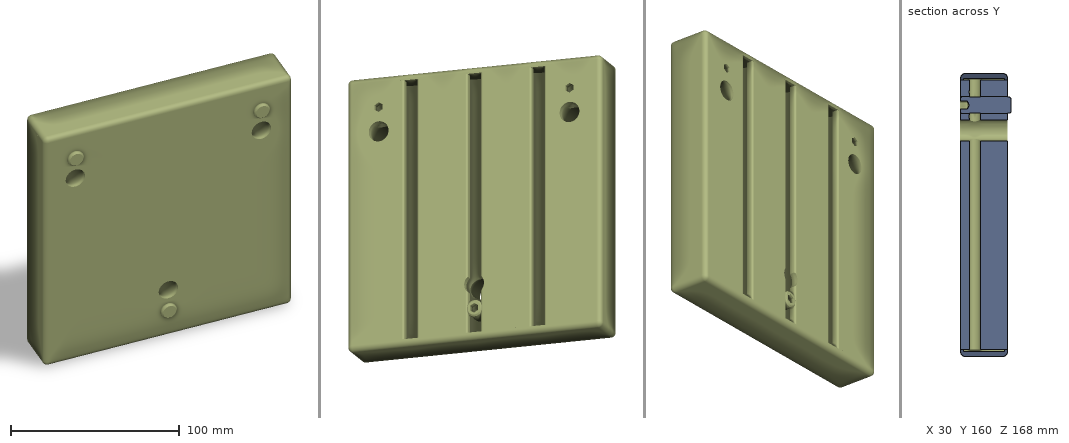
import cadquery as cq
import math

THICKNESS = 28.0
WIDTH = 160.0
HEIGHT = 168.0
SCREW_LENGTH = 30.0
CAP_THICKNESS = 4.0
EDGE_RADIUS = 3.0

CAP_RIM = 2.0
CAP_RECESS_DEPTH = 0.7

FRONT_X = -SCREW_LENGTH / 2
CENTER_X = FRONT_X + THICKNESS / 2
PROFILE_HEIGHT = HEIGHT - 2 * CAP_THICKNESS
PROFILE_BOTTOM = -PROFILE_HEIGHT / 2

SLOT_PITCH = 40.0
LIP_THICKNESS = 4.0
LIP_RADIUS = 1.3
SLOT_DEPTH = 12.5
UNDERCUT_RADIUS = 6.7
MOUTH_HALF = 4.0
FLOOR_HALF = 2.4

COLUMN_Y = 60.0
HOLE_Z = 50.0
SCREW_Z = 65.0
HOLE_DIAMETER = 12.5
SCREW_DIAMETER = 10.0
SCREW_TIP_CHAMFER = 0.8
HEX_ACROSS_FLATS = 5.0
HEX_DEPTH = 4.0
HEX_CONE_DEPTH = 1.7

COLUMNS = [(COLUMN_Y, 1), (-COLUMN_Y, 1), (0, -1)]

BORE_DIAMETER = 6.9
BORE_X = -6.4

LIP_X = FRONT_X + LIP_THICKNESS
FLOOR_X = FRONT_X + SLOT_DEPTH

ARC_MIDDLE = 1 - math.sqrt(0.5)


def outer_block():
    """Rounded envelope shared by the profile and its two end caps."""
    block = cq.Workplane("XY").box(THICKNESS, WIDTH, HEIGHT)
    return block.edges().fillet(EDGE_RADIUS).translate((CENTER_X, 0, 0))


def slab(bottom_z, height):
    """Layer of the envelope between two heights."""
    layer = cq.Workplane("XY").workplane(offset=bottom_z)
    layer = layer.rect(2 * SCREW_LENGTH, 2 * WIDTH).extrude(height)
    return outer_block().intersect(layer)


def slot(y):
    """Slot with a rounded mouth and an undercut on both sides, centred on the given Y."""
    wall_y = FLOOR_HALF + UNDERCUT_RADIUS
    half = (
        cq.Workplane("XY")
        .moveTo(FRONT_X, 0)
        .lineTo(FLOOR_X, 0)
        .lineTo(FLOOR_X, FLOOR_HALF)
        .threePointArc(
            (FLOOR_X - UNDERCUT_RADIUS * ARC_MIDDLE, wall_y - UNDERCUT_RADIUS * ARC_MIDDLE),
            (FLOOR_X - UNDERCUT_RADIUS, wall_y),
        )
        .lineTo(LIP_X, wall_y)
        .lineTo(LIP_X, MOUTH_HALF)
        .lineTo(FRONT_X + LIP_RADIUS, MOUTH_HALF)
        .threePointArc(
            (FRONT_X + LIP_RADIUS * ARC_MIDDLE, MOUTH_HALF + LIP_RADIUS * ARC_MIDDLE),
            (FRONT_X, MOUTH_HALF + LIP_RADIUS),
        )
        .close()
        .extrude(PROFILE_HEIGHT)
    )
    return half.union(half.mirror("XZ")).translate((0, y, PROFILE_BOTTOM))


def screw_blank(y, z):
    """Headless screw along X with both tips chamfered, before its socket is cut."""
    blank = cq.Workplane("YZ").circle(SCREW_DIAMETER / 2).extrude(SCREW_LENGTH)
    blank = blank.faces("<X or >X").chamfer(SCREW_TIP_CHAMFER)
    return blank.translate((FRONT_X, y, z))


def hex_socket(y, z):
    """Hexagonal socket with a conical bottom, points up and down."""
    across_corners = HEX_ACROSS_FLATS / math.cos(math.pi / 6)
    prism = cq.Workplane("YZ").polygon(6, across_corners).extrude(HEX_DEPTH)
    prism = prism.rotate((0, 0, 0), (1, 0, 0), 90)
    cone = cq.Solid.makeCone(
        HEX_ACROSS_FLATS / 2, 0, HEX_CONE_DEPTH, cq.Vector(HEX_DEPTH, 0, 0), cq.Vector(1, 0, 0)
    )
    return prism.union(cq.Workplane(cone)).translate((FRONT_X, y, z))


def levelling_screw(y, z):
    """One levelling screw, flush with the front face and standing out of the back."""
    return screw_blank(y, z).cut(hex_socket(y, z))


def fixing_hole(y, z):
    """Round hole through the whole thickness."""
    hole = cq.Workplane("YZ").circle(HOLE_DIAMETER / 2).extrude(THICKNESS)
    return hole.translate((FRONT_X, y, z))


def bore(y):
    """Round bore along the full height of the profile."""
    start = cq.Workplane("XY").workplane(offset=PROFILE_BOTTOM)
    return start.center(BORE_X, y).circle(BORE_DIAMETER / 2).extrude(PROFILE_HEIGHT)


def main_profile():
    """Slotted profile with its bores, fixing holes and screw holes."""
    body = slab(PROFILE_BOTTOM, PROFILE_HEIGHT)
    for y in (-SLOT_PITCH, 0, SLOT_PITCH):
        body = body.cut(slot(y))
    for y in (COLUMN_Y, -COLUMN_Y):
        body = body.cut(bore(y))
    for y, half in COLUMNS:
        body = body.cut(fixing_hole(y, half * HOLE_Z))
        body = body.cut(screw_blank(y, half * SCREW_Z))
    return body


def bottom_cap():
    """Plate that closes the lower end, with a shallow recess in its inner face."""
    recess = cq.Workplane("XY").box(
        THICKNESS - 2 * CAP_RIM, WIDTH - 2 * CAP_RIM, CAP_RECESS_DEPTH, centered=(True, True, False)
    )
    recess = recess.translate((CENTER_X, 0, PROFILE_BOTTOM - CAP_RECESS_DEPTH))
    return slab(-HEIGHT / 2, CAP_THICKNESS).cut(recess)


profile = main_profile()
lower_cap = bottom_cap()
caps = [lower_cap, lower_cap.mirror("XY")]
screws = [levelling_screw(y, half * SCREW_Z) for y, half in COLUMNS]

result = cq.Compound.makeCompound([body.val() for body in [profile, *caps, *screws]])